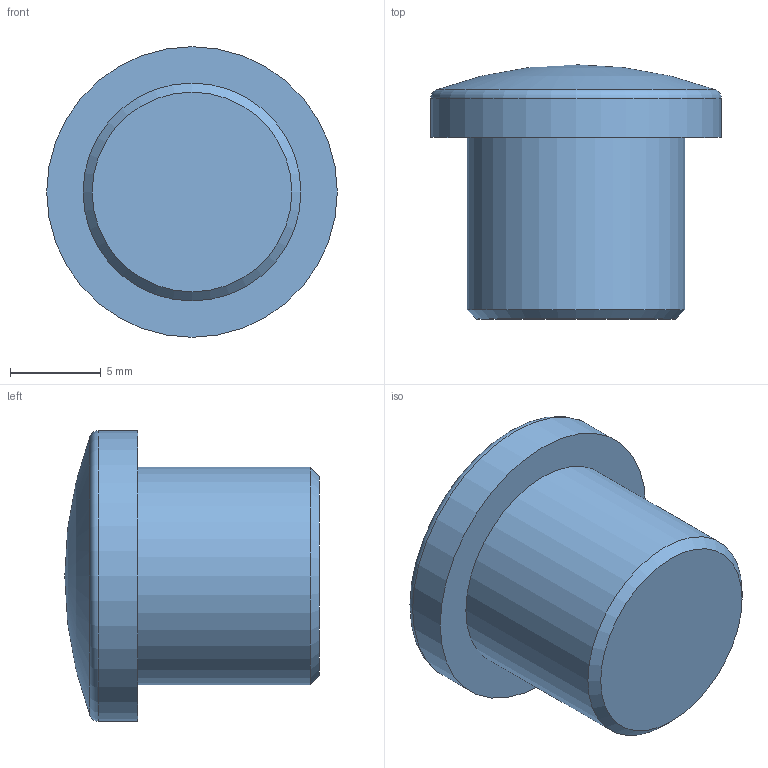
import cadquery as cq
import math

shank_diameter = 12.0
shank_length = 10.0
shank_chamfer = 0.5

head_diameter = 16.0
head_height = 4.0
dome_radius = 22.0
rim_fillet = 0.5


def make_shank():
    """Cylinder with a chamfered free end."""
    shank = cq.Workplane("XZ").circle(shank_diameter / 2).extrude(shank_length)
    return shank.faces("<Y").chamfer(shank_chamfer)


def make_head():
    """Revolved disc with a spherical top, blended tangentially into its side wall."""
    head_radius = head_diameter / 2
    dome_center = head_height - dome_radius

    center_distance = dome_radius - rim_fillet
    fillet_x = head_radius - rim_fillet
    fillet_y = dome_center + math.sqrt(center_distance**2 - fillet_x**2)

    dome_angle = math.asin(fillet_x / center_distance)
    fillet_mid_angle = (dome_angle + math.pi / 2) / 2

    def on_dome(angle):
        return dome_radius * math.sin(angle), dome_center + dome_radius * math.cos(angle)

    fillet_middle = (
        fillet_x + rim_fillet * math.sin(fillet_mid_angle),
        fillet_y + rim_fillet * math.cos(fillet_mid_angle),
    )
    return (
        cq.Workplane("XY")
        .lineTo(head_radius, 0)
        .lineTo(head_radius, fillet_y)
        .threePointArc(fillet_middle, on_dome(dome_angle))
        .threePointArc(on_dome(dome_angle / 2), on_dome(0))
        .close()
        .revolve(360, (0, 0), (0, 1))
    )


result = make_head().union(make_shank())